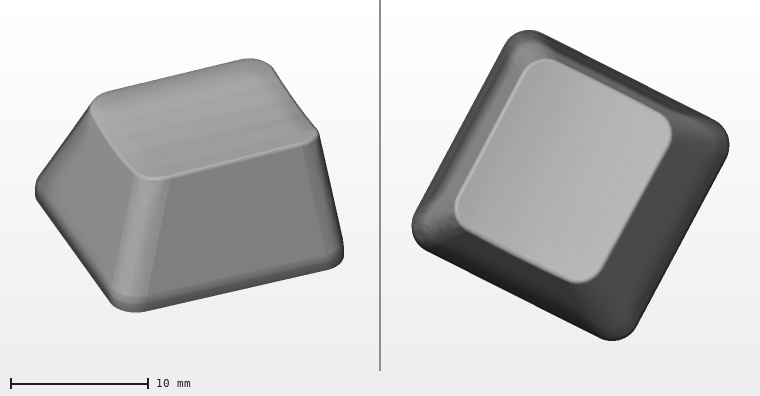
import cadquery as cq
import math

base_width = 18.16
skirt_height = 0.73
base_corner_radius = 2.0

band_top = 1.3
band_middle = (skirt_height + band_top) / 2

side_slope = 0.38
front_slope = 0.4
back_slope = 0.09

wall_top = 10.9
wall_top_corner_radius = 1.96

dish_radius = 32.32
dish_height = 8.68
dish_drop = 0.02
dish_tilt = math.degrees(math.atan(dish_drop))
dish_length = 2 * base_width

rim_fillet = 0.29


def section(height, travel):
    """Rounded rectangle at a height; travel is the rise over which the walls have leaned in."""
    half = base_width / 2
    front = -half + front_slope * travel
    back = half - back_slope * travel
    width = base_width - 2 * side_slope * travel
    rise = (height - skirt_height) / (wall_top - skirt_height)
    radius = base_corner_radius + rise * (wall_top_corner_radius - base_corner_radius)
    outline = cq.Sketch().rect(width, back - front).vertices().fillet(radius)
    return outline.moved(cq.Location(cq.Vector(0, (front + back) / 2, height)))


def loft(sections, ruled):
    return cq.Workplane("XY").placeSketch(*sections).loft(ruled=ruled)


def make_skirt():
    return cq.Workplane("XY").placeSketch(section(0, 0)).extrude(skirt_height)


def make_band():
    """Parabolic blend, tangent to the skirt and the walls: a quarter of the lean at half height."""
    full_travel = band_top - band_middle
    return loft(
        [section(skirt_height, 0), section(band_middle, full_travel / 4), section(band_top, full_travel)],
        ruled=False,
    )


def make_walls():
    return loft(
        [section(band_top, band_top - band_middle), section(wall_top, wall_top - band_middle)],
        ruled=True,
    )


def make_dish():
    return (
        cq.Workplane("XZ")
        .circle(dish_radius)
        .extrude(dish_length / 2, both=True)
        .translate((0, 0, dish_height + dish_radius))
        .rotate((0, 0, dish_height), (1, 0, dish_height), dish_tilt)
    )


upper = make_walls().cut(make_dish())
upper = upper.faces(">Z").edges().fillet(rim_fillet)
result = make_skirt().union(make_band()).union(upper)